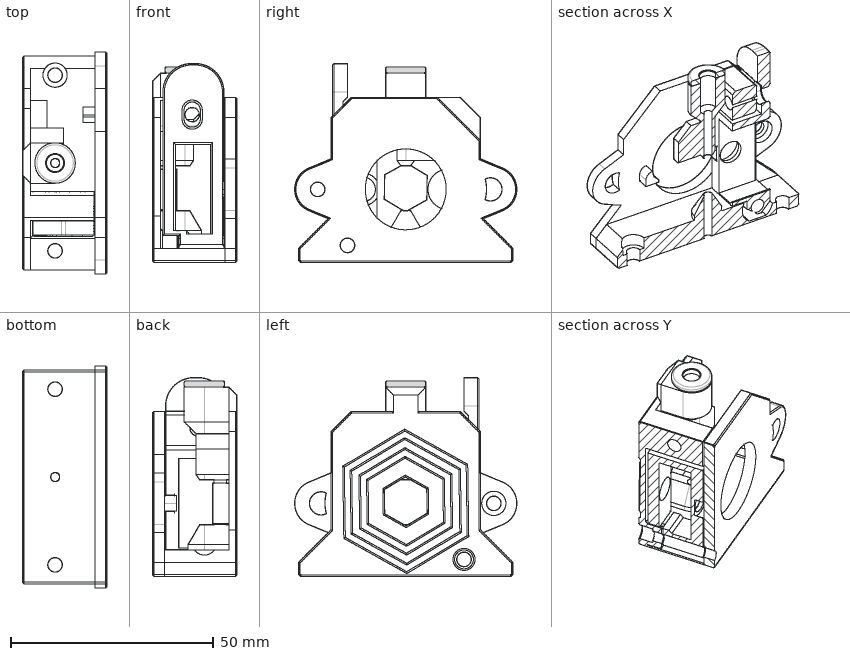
import cadquery as cq
import math


wall = 2.0
housing_width = 17.9
plate_thickness = 2.95
base_half = 26.5
base_thickness = 3.5
shoulder_half = 18.5
top_half = 13.5
top_height = 40.85
base_chamfer = 0.5
face_chamfer = 0.4
floor_height = 6.6

filament_x = 8.05
filament_diameter = 2.15
tube_bore = 4.3
tube_radius = 5.0
neck_radius = 2.15
tip_radius = 1.2
tube_top = 46.85
tube_bottom = 38.2
tip_top = 12.8
tip_bottom = 23.9
neck_bottom = 25.25
foot_radius = 4.05
foot_top = 7.9
boss_chamfer = 2.0
web_back = 8.7
web_top = 35.2

hex_height = 18.6
hex_turn = -0.85
hex_grooves = [(15.45, 13.25), (11.5, 9.25)]
hex_hole = 5.2

gear_height = 18.1
gear_offset = 10.5
gear_boss_radius = 5.0
gear_boss_length = 4.0
screw_diameter = 3.5
screw_head_diameter = 6.0
base_screw_y = 21.7
pivot_y = -14.4
pivot_z = 4.25
pivot_boss_radius = 3.65
pivot_boss_end = 6.3
pivot_boss_chamfer = 0.35
pivot_boss_flare = 0.5
pivot_recess_diameter = 4.7
pivot_recess_depth = 3.85
pocket_radius = 4.35
pocket_bottom = 0.65

bridge_back = -7.1
bridge_front = -14.25
bridge_end = 17.6
bridge_bottom = 32.4
bridge_rounding = 1.3
bridge_chamfer = 0.9
tension_x = 9.8
tension_z = 36.6

plate_chamfer = 0.35
plate_top_back = 7.8
ear_y = 21.8
ear_radius = 5.7
ear_slope = 22.5
motor_hole_diameter = 20.0
opening_y = 20.95
opening_diameter = 5.65
opening_land_y = 20.0
head_recess = 1.85
stop_length = 2.95
stop_front = 10.05
stop_ledge = 11.35
stop_ridge = 11.9
stop_back = 13.8
stop_half = 1.9

lever_left = 2.55
lever_right = 17.65
lever_front = -18.15
lever_top = 49.2
lever_corner = 7.05
lever_head_back = -14.35
lever_web_back = -15.5
lever_head_bottom = 40.9
lever_chamfer = 0.4
lug_front_bottom = 4.4
lug_bottom = 1.75
lug_back = -11.3
lug_left = 6.55
notch_top = 6.65
notch_front = -17.15
window_left = 5.7
window_right = 14.35
window_top = 29.15
window_bottom = 7.1
window_step = 7.85
window_step_x = 8.35
window_chamfer = 0.5
arm_top = 31.35
arm_bottom = 6.7
axle_diameter = 6.0
axle_recess_diameter = 8.0
axle_recess_depth = 2.2
tension_slot_width = 4.0
tension_slot_length = 6.2

collar_height = 1.55
collar_rounding = 0.5
collar_chamfer = 0.19


def box(x, y, z):
    """Box between pairs of limits along X, Y and Z."""
    sizes = [high - low for low, high in (x, y, z)]
    return cq.Workplane("XY").box(*sizes, centered=False).translate((x[0], y[0], z[0]))


def profile(points, start, end):
    """Closed (Y, Z) outline extruded along X."""
    return cq.Workplane("YZ").workplane(offset=start).polyline(points).close().extrude(end - start)


def rod(y, z, diameter, start, end):
    """Round rod along X."""
    return cq.Workplane("YZ").workplane(offset=start).center(y, z).circle(diameter / 2).extrude(end - start)


def post(x, y, diameter, bottom, top):
    """Round rod along Z."""
    return cq.Workplane("XY").workplane(offset=bottom).center(x, y).circle(diameter / 2).extrude(top - bottom)


def hexagon(flat_half, depth, taper):
    """Upright hexagonal block sunk into the wall surface from X = 0."""
    corner_diameter = 2 * flat_half / math.cos(math.radians(30))
    block = cq.Workplane("YZ").transformed(rotate=(0, 0, 90 + hex_turn))
    block = block.polygon(6, corner_diameter).extrude(depth, taper=taper)
    return block.translate((0, 0, hex_height))


def guide_section(radius_bottom, bottom, radius_top, top):
    """Round-nosed guide growing out of the wall, tapering evenly from bottom to top."""
    back = -3 * tube_radius
    taper = math.degrees(math.atan((radius_bottom - radius_top) / (top - bottom)))
    nose = filament_x + radius_bottom
    guide = (
        cq.Workplane("XY").workplane(offset=bottom)
        .moveTo(back, -radius_bottom)
        .lineTo(filament_x, -radius_bottom)
        .threePointArc((nose, 0), (filament_x, radius_bottom))
        .lineTo(back, radius_bottom)
        .close()
        .extrude(top - bottom, taper=taper)
    )
    inside = box((wall, housing_width), (-base_half, base_half), (bottom, top))
    return guide.intersect(inside)


def side_outline(back_top):
    """Outline shared by the wall and the motor plate, with its back slope ending at back_top."""
    foot_rise = base_half - shoulder_half
    return [
        (-base_half + base_chamfer, 0),
        (base_half - base_chamfer, 0),
        (base_half, base_chamfer),
        (base_half, base_thickness),
        (shoulder_half, base_thickness + foot_rise),
        (shoulder_half, top_height - (shoulder_half - back_top)),
        (back_top, top_height),
        (-top_half, top_height),
        (-shoulder_half, top_height - (shoulder_half - top_half)),
        (-shoulder_half, base_thickness + foot_rise),
        (-base_half, base_thickness),
        (-base_half, base_chamfer),
    ]


def make_wall():
    return profile(side_outline(top_half), 0, wall).faces("<X").edges().chamfer(face_chamfer)


def make_base():
    slope = floor_height - base_thickness
    base = profile(
        [
            (-base_half + base_chamfer, 0),
            (base_half - base_chamfer, 0),
            (base_half, base_chamfer),
            (base_half, base_thickness),
            (base_half - slope, floor_height),
            (pivot_y, floor_height),
            (pivot_y, base_thickness),
            (-base_half, base_thickness),
            (-base_half, base_chamfer),
        ],
        wall,
        housing_width,
    )
    pocket = rod(pivot_y, pivot_z, 2 * pocket_radius, wall, housing_width)
    pocket = pocket.intersect(
        box((wall, housing_width), (-base_half, base_half), (pocket_bottom, top_height))
    )
    boss = rod(pivot_y, pivot_z, 2 * pivot_boss_radius, wall, pivot_boss_end)
    boss = boss.faces(">X").edges().chamfer(pivot_boss_chamfer)
    flare = rod(pivot_y, pivot_z, 2 * (pivot_boss_radius + pivot_boss_flare), 0, wall + pivot_boss_flare)
    flare = flare.faces(">X").edges().chamfer(pivot_boss_flare)
    flare = flare.intersect(box((wall, housing_width), (-base_half, base_half), (0, top_height)))
    return base.cut(pocket).union(boss).union(flare)


def make_bridge():
    front_slope = -top_half - bridge_front
    bridge = profile(
        [
            (bridge_back, bridge_bottom),
            (bridge_back, top_height - bridge_chamfer),
            (bridge_back - bridge_chamfer, top_height),
            (-top_half, top_height),
            (bridge_front, top_height - front_slope),
            (bridge_front, bridge_bottom),
        ],
        wall,
        bridge_end,
    )
    return bridge.edges("|X and <Y and <Z").fillet(bridge_rounding)


def make_upper_guide():
    boss = box((0, filament_x), (-tube_radius, tube_radius), (tube_bottom, tube_top))
    boss = boss.faces("<X").edges("|Z or >Z").chamfer(boss_chamfer)
    neck_top = tube_bottom - (tube_radius - neck_radius)
    guide = boss.union(guide_section(tube_radius, tube_bottom, tube_radius, tube_top))
    guide = guide.union(guide_section(neck_radius, neck_top, tube_radius, tube_bottom))
    guide = guide.union(guide_section(neck_radius, neck_bottom, neck_radius, neck_top))
    return guide.union(guide_section(tip_radius, tip_bottom, neck_radius, neck_bottom))


def make_web():
    """Sloping web behind the neck of the upper guide."""
    web_drop = web_back - tube_radius
    return profile(
        [
            (0, neck_bottom),
            (web_back, neck_bottom),
            (web_back, web_top - web_drop),
            (tube_radius, web_top),
            (0, web_top),
        ],
        wall,
        filament_x + neck_radius,
    )


def make_lower_guide():
    foot = guide_section(foot_radius, base_thickness, foot_radius, foot_top)
    return foot.union(guide_section(foot_radius, foot_top, tip_radius, tip_top))


def make_housing():
    housing = make_wall().union(make_base()).union(make_bridge())
    housing = housing.union(make_upper_guide()).union(make_web()).union(make_lower_guide())
    housing = housing.union(
        rod(gear_offset, gear_height, 2 * gear_boss_radius, wall, wall + gear_boss_length)
    )
    for outer, inner in hex_grooves:
        island = hexagon(inner, face_chamfer, -45)
        housing = housing.cut(hexagon(outer, face_chamfer, 45).cut(island))
    housing = housing.cut(hexagon(hex_hole, wall, 0))
    housing = housing.cut(hexagon(hex_hole + face_chamfer, face_chamfer, 45))
    housing = housing.cut(post(filament_x, 0, filament_diameter, 0, tube_top))
    bore = post(filament_x, 0, tube_bore, tube_bottom, tube_top)
    cone_depth = (tube_bore - filament_diameter) / 2
    cone = bore.faces("<Z").workplane().circle(tube_bore / 2).extrude(cone_depth, taper=45)
    housing = housing.cut(cone)
    for y in (-base_screw_y, base_screw_y):
        housing = housing.cut(post(filament_x, y, screw_diameter, 0, floor_height))
    housing = housing.cut(
        post(filament_x, base_screw_y, screw_head_diameter, base_thickness, floor_height)
    )
    housing = housing.cut(rod(pivot_y, pivot_z, screw_diameter, 0, housing_width))
    recess = rod(pivot_y, pivot_z, pivot_recess_diameter, 0, pivot_recess_depth)
    rim = cq.Workplane("YZ").center(pivot_y, pivot_z).circle(pivot_recess_diameter / 2 + face_chamfer)
    rim = rim.extrude(face_chamfer, taper=45)
    housing = housing.cut(recess).cut(rim)
    tension = cq.Workplane("XZ").workplane(offset=-bridge_back).center(tension_x, tension_z)
    return housing.cut(tension.circle(screw_diameter / 2).extrude(bridge_back - bridge_front))


def make_ear(side):
    """Mounting ear whose edges run tangent from a round end back to the plate; side is 1 or -1."""
    end = housing_width + plate_thickness
    sine = math.sin(math.radians(ear_slope))
    cosine = math.cos(math.radians(ear_slope))
    tangent_y = ear_y + ear_radius * sine
    tangent_rise = ear_radius * cosine
    root_y = base_half / 2
    root_rise = tangent_rise + (tangent_y - root_y) * sine / cosine
    flank = [
        (side * root_y, gear_height - root_rise),
        (side * tangent_y, gear_height - tangent_rise),
        (side * tangent_y, gear_height + tangent_rise),
        (side * root_y, gear_height + root_rise),
    ]
    return profile(flank, housing_width, end).union(
        rod(side * ear_y, gear_height, 2 * ear_radius, housing_width, end)
    )


def make_ear_opening():
    """Round opening in the back ear, trimmed by a round land about the gear axis."""
    end = housing_width + plate_thickness
    land_radius = opening_land_y - gear_offset
    land = rod(gear_offset, gear_height, 2 * land_radius, housing_width, end)
    return rod(opening_y, gear_height, opening_diameter, housing_width, end).cut(land)


def make_stop():
    """Bar on the inner face with a round back and a lower, sloping front ledge."""
    round_radius = stop_back - stop_ridge
    round_offset = round_radius * math.sqrt(0.5)
    ledge_drop = stop_ledge - stop_front
    return (
        cq.Workplane("YZ").workplane(offset=housing_width - stop_length)
        .moveTo(stop_front, gear_height - stop_half)
        .lineTo(stop_back, gear_height - stop_half)
        .lineTo(stop_back, gear_height)
        .threePointArc(
            (stop_ridge + round_offset, gear_height + round_offset),
            (stop_ridge, gear_height + round_radius),
        )
        .lineTo(stop_ledge, gear_height)
        .lineTo(stop_front, gear_height - ledge_drop)
        .close()
        .extrude(stop_length)
    )


def make_motor_plate():
    end = housing_width + plate_thickness
    plate = profile(side_outline(plate_top_back), housing_width, end)
    plate = plate.union(make_ear(1)).union(make_ear(-1))
    plate = plate.faces(">X").edges().chamfer(plate_chamfer)
    plate = plate.cut(rod(0, gear_height, motor_hole_diameter, housing_width, end))
    plate = plate.cut(make_ear_opening())
    plate = plate.cut(rod(-ear_y, gear_height, screw_diameter, housing_width, end))
    plate = plate.cut(
        rod(-ear_y, gear_height, screw_head_diameter, housing_width, housing_width + head_recess)
    )
    plate = plate.cut(rod(pivot_y, pivot_z, screw_diameter, housing_width, end))
    return plate.union(make_stop())


def lever_profile():
    """Side outline: tall front web, thick head, arms reaching back to the axle, lug in the pocket."""
    head_step = lever_head_back - lever_web_back
    front_slope = lug_front_bottom - lug_bottom
    return [
        (lever_front, lug_front_bottom),
        (lever_front, lever_top),
        (lever_head_back, lever_top),
        (lever_head_back, lever_head_bottom),
        (lever_web_back, lever_head_bottom - head_step),
        (lever_web_back, arm_top),
        (bridge_back, arm_top),
        (bridge_back, arm_bottom),
        (lug_back, arm_bottom),
        (lug_back, lug_front_bottom),
        (pivot_y, lug_bottom),
        (lever_front + front_slope, lug_bottom),
    ]


def make_lever_window():
    """Opening between the arms, with a raised step at the lower left and a chamfered front rim."""
    depth = (lever_front, bridge_back)
    rise = window_step - window_bottom
    window = (
        cq.Workplane("XZ").workplane(offset=-bridge_back)
        .polyline(
            [
                (window_left, window_top),
                (window_right, window_top),
                (window_right, window_bottom),
                (window_step_x + rise, window_bottom),
                (window_step_x, window_step),
                (window_left, window_step),
            ]
        )
        .close()
        .extrude(bridge_back - lever_front)
    )
    rim_width = window_right - window_left + 2 * window_chamfer
    rim_top = window_top + window_chamfer
    rim = cq.Workplane("XZ").workplane(offset=-lever_front)
    rim = rim.center((window_left + window_right) / 2, rim_top / 2)
    rim = rim.rect(rim_width, rim_top).extrude(-window_chamfer, taper=45)
    rim = rim.intersect(box((0, housing_width), depth, (window_bottom, top_height)))
    step = box((0, window_step_x), depth, (0, window_step))
    return window.union(rim.cut(step))


def make_tension_slot():
    """Upright slot through the lever with a chamfered front mouth."""
    slot = cq.Workplane("XZ").workplane(offset=-lever_web_back).center(tension_x, tension_z)
    slot = slot.slot2D(tension_slot_length, tension_slot_width, 90)
    slot = slot.extrude(lever_web_back - lever_front)
    mouth = cq.Workplane("XZ").workplane(offset=-lever_front).center(tension_x, tension_z)
    mouth = mouth.slot2D(
        tension_slot_length + 2 * window_chamfer, tension_slot_width + 2 * window_chamfer, 90
    )
    return slot.union(mouth.extrude(-window_chamfer, taper=45))


def make_lever():
    lever = profile(lever_profile(), lever_left, lever_right)
    lever = lever.edges("|Y and >Z").fillet(lever_corner)
    lever = lever.cut(box((0, lug_left), (-base_half, base_half), (0, notch_top)))
    lever = lever.faces("<Y").edges("not <Z").chamfer(lever_chamfer)
    lever = lever.cut(box((0, lug_left), (notch_front, base_half), (0, window_step)))
    lever = lever.cut(make_lever_window()).cut(make_tension_slot())
    lever = lever.cut(rod(pivot_y, pivot_z, screw_diameter, lever_left, lever_right))
    lever = lever.cut(rod(-gear_offset, gear_height, axle_diameter, lever_left, lever_right))
    return lever.cut(
        rod(-gear_offset, gear_height, axle_recess_diameter, lever_right - axle_recess_depth, lever_right)
    )


def make_collar():
    collar = post(filament_x, 0, 2 * tube_radius, tube_top, tube_top + collar_height)
    collar = collar.edges().fillet(collar_rounding)
    collar = collar.cut(post(filament_x, 0, tube_bore, tube_top, tube_top + collar_height))
    bore_edge = cq.selectors.RadiusNthSelector(0)
    return collar.faces(">Z").edges(bore_edge).chamfer(collar_chamfer)


housing = make_housing()
motor_plate = make_motor_plate()
lever = make_lever()
collar = make_collar()

result = cq.Compound.makeCompound(
    [housing.solids().val(), motor_plate.solids().val(), lever.solids().val(), collar.solids().val()]
)